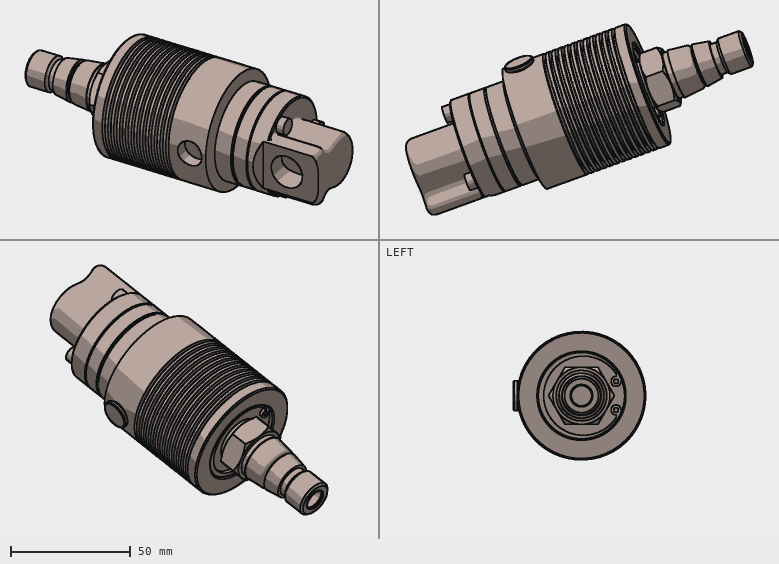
import cadquery as cq
import math


total_length = 148.7
tip_radius = 15.9 / 2
tip_end = 11.2
tip_chamfer = 0.9
relief_radius = 13.5 / 2
cone_start = 14.0
cone_start_radius = 16.4 / 2
cone_step = 21.1
cone_step_radius = 18.7 / 2
step_groove_radius = 15.9 / 2
second_cone_start = 22.0
second_cone_round = 1.8
cone_end = 31.5
cone_end_radius = 10.5
collar_radius = 20.2 / 2
bore_radius = 8.5 / 2
bore_chamfer = 0.5
bore_depth = 59.5

hex_start = 33.9
hex_end = 43.7
hex_flats = 23.8
hex_corners = hex_flats / math.cos(math.radians(30))
hex_chamfer = 1.2

body_start = 44.0
body_radius = 26.8
body_chamfer = 0.6
body_taper_start = 99.0
body_end = 100.5
groove_count = 12
groove_start = 48.9
groove_end = 81.0
groove_width = 1.3
groove_pitch = (groove_end - groove_start - groove_width) / (groove_count - 1)
groove_radius = 48.3 / 2

recess_radius = 36.0 / 2
recess_depth = 2.2
recess_floor = body_start + recess_depth
recess_chamfer = 0.6
ring_thickness = 1.5
ring_inner_radius = 16.5
ring_offset = -0.7
lug_edge = -14.5
eye_y = -14.4
eye_z = 6.0
eye_radius = 4.2 / 2
eye_hole_radius = 2.0 / 2

vent_x = 91.3
vent_radius = 5.8
vent_core_radius = 20.8
plug_radius = 6.2
plug_top = 28.4
plug_thickness = 2.1
plug_chamfer = 0.5

neck_radius = 43.5 / 2
neck_end = 124.6
neck_chamfer = 0.6
joint_groove_depth = 0.5
joint_grooves = ((108.2, 0.9), (115.7, 0.5))

flat_y = -18.6
flat_start = 122.2
hub_radius = 12.3
slope_start_y = -3.7
slope_end_y = -6.8
lug_radius = 3.9
lug_height = 13.7
lug_y = -15.0
lug_arc_end = 150
lug_front_y = -22.3
block_round = 3.5
root_round = 1.2
port_x = 133.5
port_radius = 15.0 / 2
port_core_radius = 20.2 / 2

screw_circle_radius = 17.5
screw_head_radius = 7.1 / 2
screw_head_height = 3.5
screw_angles = (0, 120, 240)

cut_margin = 1.5


def cylinder_x(radius, start, end):
    return cq.Workplane("YZ").workplane(offset=start).circle(radius).extrude(end - start)


def ring_cutter(start, width, inner_radius, outer_radius):
    outer = cylinder_x(outer_radius, start, start + width)
    return outer.cut(cylinder_x(inner_radius, start, start + width))


def make_nose():
    """Stepped rotor nose, turned about X and carried into the housing recess."""
    cone_slope = (cone_end_radius - cone_step_radius) / (cone_end - cone_step)
    round_end = second_cone_start + second_cone_round
    round_end_radius = cone_step_radius + cone_slope * (round_end - cone_step)
    half = math.sqrt(0.5)
    mid_x = round_end - second_cone_round * half
    mid_radius = step_groove_radius + (round_end_radius - step_groove_radius) * half
    profile = (
        cq.Workplane("XY")
        .moveTo(0, 0)
        .lineTo(0, tip_radius - tip_chamfer)
        .lineTo(tip_chamfer, tip_radius)
        .lineTo(tip_end - (tip_radius - relief_radius), tip_radius)
        .lineTo(tip_end, relief_radius)
        .lineTo(cone_start, relief_radius)
        .lineTo(cone_start, cone_start_radius)
        .lineTo(cone_step, cone_step_radius)
        .lineTo(cone_step, step_groove_radius)
        .lineTo(second_cone_start, step_groove_radius)
        .threePointArc((mid_x, mid_radius), (round_end, round_end_radius))
        .lineTo(cone_end, cone_end_radius)
        .lineTo(cone_end, collar_radius)
        .lineTo(recess_floor, collar_radius)
        .lineTo(recess_floor, 0)
        .close()
    )
    return profile.revolve(360, (0, 0, 0), (1, 0, 0))


def make_hexagon():
    length = hex_end - hex_start
    prism = cq.Workplane("YZ").workplane(offset=hex_start).polygon(6, hex_corners).extrude(length)
    envelope = cylinder_x(hex_corners / 2, hex_start, hex_end)
    envelope = envelope.faces("<X or >X").chamfer(hex_chamfer, (hex_corners - hex_flats) / 2)
    return prism.intersect(envelope)


def make_housing():
    """Finned body and neck flange, turned about X with the front recess included."""
    profile = (
        cq.Workplane("XY")
        .moveTo(recess_floor, 0)
        .lineTo(recess_floor, recess_radius)
        .lineTo(body_start + recess_chamfer, recess_radius)
        .lineTo(body_start, recess_radius + recess_chamfer)
        .lineTo(body_start, body_radius - body_chamfer)
        .lineTo(body_start + body_chamfer, body_radius)
        .lineTo(body_taper_start, body_radius)
        .lineTo(body_end, neck_radius)
        .lineTo(neck_end - neck_chamfer, neck_radius)
        .lineTo(neck_end, neck_radius - neck_chamfer)
        .lineTo(neck_end, 0)
        .close()
    )
    housing = profile.revolve(360, (0, 0, 0), (1, 0, 0))
    for index in range(groove_count):
        start = groove_start + index * groove_pitch
        housing = housing.cut(ring_cutter(start, groove_width, groove_radius, body_radius + cut_margin))
    for start, width in joint_grooves:
        inner_radius = neck_radius - joint_groove_depth
        housing = housing.cut(ring_cutter(start, width, inner_radius, neck_radius + cut_margin))
    return housing


def make_snap_ring():
    """Eccentric snap ring, open toward -Y, with an eye at each end."""
    start = recess_floor - ring_thickness
    plane = cq.Workplane("YZ").workplane(offset=start)
    disc = cylinder_x(recess_radius, start, recess_floor)
    opening = plane.center(ring_offset, 0).circle(ring_inner_radius).extrude(ring_thickness)
    gap = plane.center(-recess_radius, 0).rect(recess_radius, 2 * eye_z).extrude(ring_thickness)
    lug_zone = plane.center(lug_edge - recess_radius, 0).rect(2 * recess_radius, 2 * recess_radius)
    lugs = disc.intersect(lug_zone.extrude(ring_thickness))
    ring = disc.cut(opening).union(lugs).cut(gap)
    eye_points = [(eye_y, -eye_z), (eye_y, eye_z)]
    eyes = plane.pushPoints(eye_points).circle(eye_radius).extrude(ring_thickness)
    holes = plane.pushPoints(eye_points).circle(eye_hole_radius).extrude(ring_thickness)
    return ring.union(eyes).cut(holes)


def radial_hole(x, radius, core_radius):
    """Hole drilled from the -Y side, stopping on a core that runs along X."""
    hole = cq.Workplane("XZ").center(x, 0).circle(radius).extrude(body_radius + cut_margin)
    return hole.cut(cylinder_x(core_radius, x - radius, x + radius))


def make_plug():
    head = cq.Workplane("XZ").workplane(offset=-plug_top).center(vent_x, 0)
    head = head.circle(plug_radius).extrude(plug_thickness).edges().chamfer(plug_chamfer)
    stem = cq.Workplane("XZ").workplane(offset=-plug_top + plug_thickness).center(vent_x, 0)
    return head.union(stem.circle(plug_radius - plug_chamfer).extrude(plug_thickness))


def make_flange_flat():
    """Flat on the -Y side of the flange, leading out at 45 degrees."""
    depth = neck_radius
    return (
        cq.Workplane("XY")
        .workplane(offset=-neck_radius)
        .moveTo(flat_start, flat_y)
        .lineTo(total_length, flat_y)
        .lineTo(total_length, flat_y - depth)
        .lineTo(flat_start - depth, flat_y - depth)
        .close()
        .extrude(2 * neck_radius)
    )


def make_port_block(start):
    """Round hub with a lug toward -Y; the upper outline is mirrored below."""
    slope = math.asin(-slope_start_y / hub_radius)
    slope_start_z = hub_radius * math.cos(slope)
    slope_end_z = slope_start_z - (slope_start_y - slope_end_y) * math.tan(slope)

    lug_z = lug_height - lug_radius
    end_angle = math.radians(lug_arc_end)
    arc_y = lug_y + lug_radius * math.cos(end_angle)
    arc_z = lug_z + lug_radius * math.sin(end_angle)
    front_z = arc_z - (arc_y - lug_front_y) / math.tan(math.pi - end_angle)
    to_valley_y = slope_end_y - lug_y
    to_valley_z = slope_end_z - lug_z
    along_normal = to_valley_z * math.cos(slope) - to_valley_y * math.sin(slope)
    valley_radius = (lug_radius**2 - to_valley_y**2 - to_valley_z**2) / (2 * (along_normal - lug_radius))
    valley_y = slope_end_y - valley_radius * math.sin(slope)
    valley_z = slope_end_z + valley_radius * math.cos(slope)
    share = lug_radius / (lug_radius + valley_radius)
    joint = (lug_y + share * (valley_y - lug_y), lug_z + share * (valley_z - lug_z))

    block = cq.Workplane("YZ").workplane(offset=start).moveTo(lug_front_y, -front_z)
    block = block.lineTo(lug_front_y, front_z)
    block = block.lineTo(arc_y, arc_z)
    block = block.threePointArc((lug_y, lug_height), joint)
    block = block.threePointArc((valley_y, valley_z - valley_radius), (slope_end_y, slope_end_z))
    block = block.lineTo(slope_start_y, slope_start_z)
    block = block.threePointArc((hub_radius, 0), (slope_start_y, -slope_start_z))
    block = block.lineTo(slope_end_y, -slope_end_z)
    block = block.threePointArc((valley_y, valley_radius - valley_z), (joint[0], -joint[1]))
    block = block.threePointArc((lug_y, -lug_height), (arc_y, -arc_z))
    return block.close().extrude(total_length - start)


def make_rounded_block():
    """Port block with a rounded end and a fillet where it meets the flange face."""
    block = make_port_block(neck_end).faces(">X").edges().fillet(block_round)
    plate = cq.Workplane("YZ").workplane(offset=neck_end - neck_chamfer)
    plate = plate.rect(2 * body_radius, 2 * body_radius).extrude(neck_chamfer)
    near = 0.1
    low = (neck_end - near, lug_front_y - near, -lug_height - near)
    high = (neck_end + near, hub_radius + near, lug_height + near)
    root_edges = block.union(plate).edges(cq.selectors.BoxSelector(low, high))
    block = root_edges.fillet(root_round)
    block = block.intersect(cylinder_x(neck_radius, neck_end, total_length))
    seat_start = neck_end - neck_chamfer
    seat = make_port_block(seat_start).intersect(cylinder_x(neck_radius, seat_start, neck_end))
    return block.union(seat)


def make_screws():
    heads = cq.Workplane("YZ").workplane(offset=neck_end)
    points = []
    for angle in screw_angles:
        turn = math.radians(angle)
        points.append((screw_circle_radius * math.cos(turn), screw_circle_radius * math.sin(turn)))
    return heads.pushPoints(points).circle(screw_head_radius).extrude(screw_head_height)


def make_bore():
    bore = cylinder_x(bore_radius, 0, bore_depth)
    mouth = cylinder_x(bore_radius + bore_chamfer, 0, 2 * bore_chamfer)
    return bore.union(mouth.faces(">X").chamfer(bore_chamfer))


result = make_housing().union(make_rounded_block()).cut(make_flange_flat())
result = result.union(make_nose()).union(make_hexagon()).union(make_snap_ring())
result = result.union(make_plug()).union(make_screws())
result = result.cut(make_bore())
result = result.cut(radial_hole(vent_x, vent_radius, vent_core_radius))
result = result.cut(radial_hole(port_x, port_radius, port_core_radius))